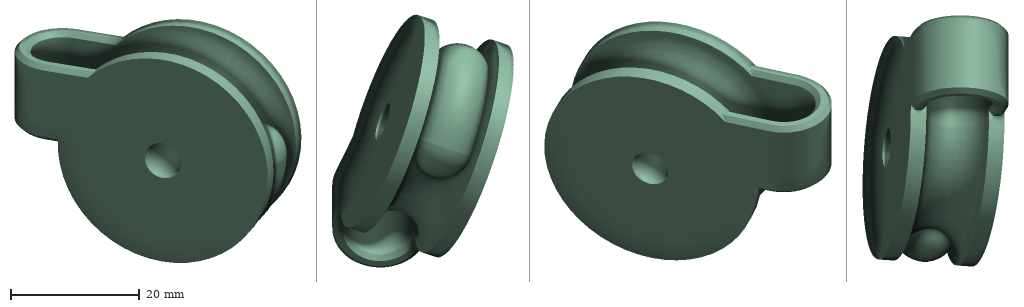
import cadquery as cq

length = 44.5
width = 15.0
disc_diameter = 35.0
hole_diameter = 6.0

wall = 2.5
loop_height = 13.05
chamfer = 0.75
stop_angle = 60

disc_radius = disc_diameter / 2
groove_radius = width / 2 - wall
stop_path_radius = disc_radius - groove_radius
loop_end_radius = width / 2
loop_reach = length - disc_radius
loop_arc_x = -loop_reach + loop_end_radius


def groove_cutter():
    """Ring whose round section is centred on the disc rim."""
    return (
        cq.Workplane("XY")
        .center(disc_radius, 0)
        .circle(groove_radius)
        .revolve(360, (-disc_radius, 0, 0), (-disc_radius, 1, 0))
    )


def rope_stop():
    """Round-ended bar bent along the bottom of the groove, from +X down towards -Z."""
    first_ball = cq.Workplane("XY").sphere(groove_radius).translate((stop_path_radius, 0, 0))
    last_ball = first_ball.rotate((0, 0, 0), (0, 1, 0), stop_angle)
    bar = (
        cq.Workplane("XY")
        .center(stop_path_radius, 0)
        .circle(groove_radius)
        .revolve(stop_angle, (-stop_path_radius, 0, 0), (-stop_path_radius, 1, 0))
    )
    return bar.union(first_ball).union(last_ball)


def loop_prism(end_radius):
    """Half of a rounded slot, running from the disc centre plane out to -X."""
    return (
        cq.Workplane("XY")
        .moveTo(0, end_radius)
        .lineTo(loop_arc_x, end_radius)
        .threePointArc((loop_arc_x - end_radius, 0), (loop_arc_x, -end_radius))
        .lineTo(0, -end_radius)
        .close()
        .extrude(loop_height)
    )


def strap_loop():
    """U-shaped strap flush with both flanges of the disc."""
    return loop_prism(loop_end_radius).cut(loop_prism(groove_radius))


disc = cq.Workplane("XZ").circle(disc_radius).extrude(loop_end_radius, both=True)
pulley = disc.cut(groove_cutter())
axle_hole = cq.Workplane("XZ").circle(hole_diameter / 2).extrude(width, both=True)

body = pulley.union(strap_loop())
strap_edges = body.faces("|Z").edges("(|X) or (%CIRCLE)")
body = strap_edges.chamfer(chamfer)

result = body.union(rope_stop()).cut(axle_hole)